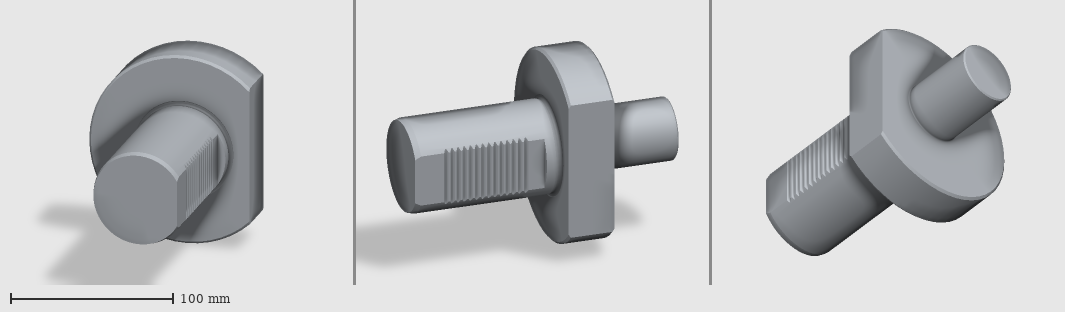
import cadquery as cq
import math

overall_length = 174

flange_radius = 122.8 / 2
flange_thickness = 30.0
flange_chamfer = 1.5
flange_flat_x = 42.3

pin_radius = 40 / 2
pin_length = 50.0
pin_chamfer = 0.9
pin_root_fillet = 0.9

shank_radius = 60.0 / 2
shank_length = overall_length - flange_thickness - pin_length
tip_length = 3.8
tip_depth = 1.0

neck_radius = 58.6 / 2
neck_end = 1.5
neck_taper_end = 3.7
neck_root_fillet = 1.3
recess_depth = 0.3
recess_floor_radius = 31.3
recess_edge_radius = 1.0

flat_x = 25.0
flat_start = 10.0
tooth_pitch = 4.0
notch_count = 14
first_notch = 21.8
notch_depth = 1.5
notch_mouth_width = 3.0
notch_bottom_width = 0.5


def turned_body():
    """Everything that is round about the axis, as one revolved half outline."""
    pin_end = flange_thickness + pin_length
    recess_edge_width = math.sqrt(recess_edge_radius**2 - (recess_edge_radius - recess_depth) ** 2)
    outline = (
        cq.Workplane("XY")
        .moveTo(0, pin_end)
        .lineTo(pin_radius - pin_chamfer, pin_end)
        .lineTo(pin_radius, pin_end - pin_chamfer)
        .lineTo(pin_radius, flange_thickness + pin_root_fillet)
        .radiusArc((pin_radius + pin_root_fillet, flange_thickness), -pin_root_fillet)
        .lineTo(flange_radius - flange_chamfer, flange_thickness)
        .lineTo(flange_radius, flange_thickness - flange_chamfer)
        .lineTo(flange_radius, flange_chamfer)
        .lineTo(flange_radius - flange_chamfer, 0)
        .lineTo(recess_floor_radius + recess_edge_width, 0)
        .radiusArc((recess_floor_radius, recess_depth), -recess_edge_radius)
        .lineTo(neck_radius + neck_root_fillet, recess_depth)
        .radiusArc((neck_radius, recess_depth - neck_root_fillet), -neck_root_fillet)
        .lineTo(neck_radius, -neck_end)
        .lineTo(shank_radius, -neck_taper_end)
        .lineTo(shank_radius, tip_length - shank_length)
        .lineTo(shank_radius - tip_depth, -shank_length)
        .lineTo(0, -shank_length)
        .close()
    )
    return outline.revolve(360, (0, 0, 0), (0, 1, 0))


def side_cutter(flat_position, y_start, y_end):
    """A block covering everything beyond X = flat_position between two Y positions."""
    return (
        cq.Workplane("XY")
        .box(flange_radius, y_end - y_start, 2 * flange_radius, centered=(False, False, True))
        .translate((flat_position, y_start, 0))
    )


def notch_cutter(y):
    """A tapered groove across the shank flat, centred at the given Y."""
    bottom_x = flat_x - notch_depth
    corners = [
        (flat_x, y - notch_mouth_width / 2),
        (bottom_x, y - notch_bottom_width / 2),
        (bottom_x, y + notch_bottom_width / 2),
        (flat_x, y + notch_mouth_width / 2),
    ]
    return cq.Workplane("XY").polyline(corners).close().extrude(shank_radius, both=True)


result = turned_body()
result = result.cut(side_cutter(flange_flat_x, 0, flange_thickness))
result = result.cut(side_cutter(flat_x, -shank_length, -flat_start))
for index in range(notch_count):
    result = result.cut(notch_cutter(-first_notch - index * tooth_pitch))